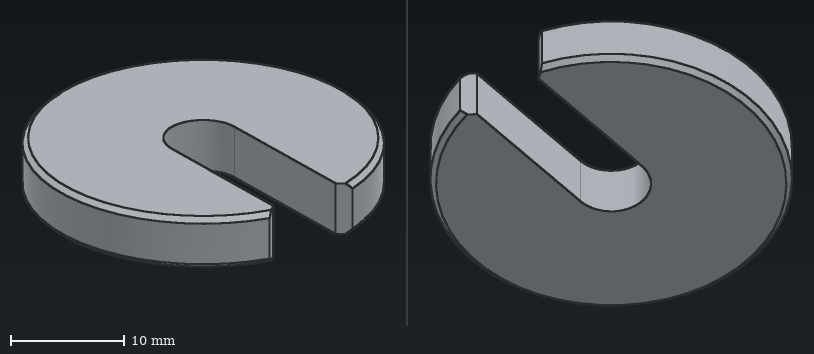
import cadquery as cq
import math

disc_radius = 15.97
thickness = 5.0
rim_chamfer = 0.5
slot_width = 7.03
mouth_start_x = 14.35
mouth_rim_x = 15.27
cut_clearance = 0.32

slot_radius = slot_width / 2
mouth_rim_y = math.sqrt(disc_radius**2 - mouth_rim_x**2)

flare_slope = (mouth_rim_y - slot_radius) / (mouth_rim_x - mouth_start_x)
cutter_end_x = disc_radius + cut_clearance
cutter_end_y = slot_radius + flare_slope * (cutter_end_x - mouth_start_x)

disc = cq.Workplane("XY").circle(disc_radius).extrude(thickness).edges().chamfer(rim_chamfer)

slot = (
    cq.Workplane("XY")
    .moveTo(0, slot_radius)
    .threePointArc((-slot_radius, 0), (0, -slot_radius))
    .lineTo(mouth_start_x, -slot_radius)
    .lineTo(cutter_end_x, -cutter_end_y)
    .lineTo(cutter_end_x, cutter_end_y)
    .lineTo(mouth_start_x, slot_radius)
    .close()
    .extrude(thickness)
)

result = disc.cut(slot)